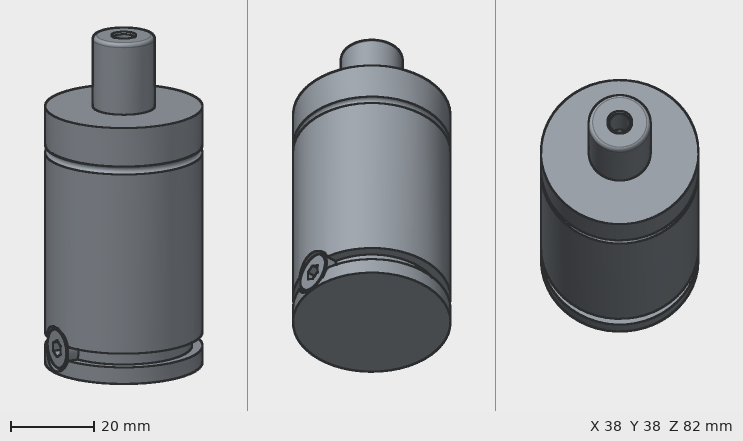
import cadquery as cq
import math

total_height = 82.0
body_diameter = 38.0
body_height = 64.2
rod_diameter = 15.0
rod_fillet = 1.0

round_groove_radius = 1.0
round_groove_z = 53.55

base_groove_diameter = 33.0
base_groove_bottom = 4.2
base_groove_top = 7.6

hole_diameter = 5.0
hole_mouth_diameter = 6.0
hole_depth = 10.0
drill_tip_angle = 118.0

pocket_diameter = 11.0
plug_diameter = 10.0
plug_chamfer = 0.3
plug_z = 6.0
plug_face_offset = 18.45
pocket_floor_offset = 14.8
hex_across_flats = 3.6
hex_depth = 2.5


def cylinder(diameter, bottom, top):
    return cq.Workplane("XY").workplane(offset=bottom).circle(diameter / 2).extrude(top - bottom)


def side_plane(offset):
    """Sketch plane centred on the plug axis, facing -Y at the given distance from the body axis."""
    return cq.Workplane("XZ", origin=(0, -offset, plug_z))


def make_body():
    body = cylinder(body_diameter, 0, body_height)
    base_groove = cylinder(body_diameter, base_groove_bottom, base_groove_top).cut(
        cylinder(base_groove_diameter, base_groove_bottom, base_groove_top)
    )
    round_groove = cq.Workplane(
        cq.Solid.makeTorus(body_diameter / 2, round_groove_radius, cq.Vector(0, 0, round_groove_z))
    )
    return body.cut(base_groove).cut(round_groove)


def make_rod():
    return cylinder(rod_diameter, body_height, total_height).faces(">Z").edges().fillet(rod_fillet)


def make_rod_hole():
    """Drilled hole with a 45 degree mouth and a conical bottom."""
    radius = hole_diameter / 2
    mouth_radius = hole_mouth_diameter / 2
    wall_bottom = total_height - hole_depth
    tip_height = radius / math.tan(math.radians(drill_tip_angle / 2))
    profile = [
        (0, total_height),
        (mouth_radius, total_height),
        (radius, total_height - (mouth_radius - radius)),
        (radius, wall_bottom),
        (0, wall_bottom - tip_height),
    ]
    return cq.Workplane("XZ").polyline(profile).close().revolve(360, (0, 0, 0), (0, 1, 0))


def make_plug_pocket():
    depth = body_diameter / 2 - pocket_floor_offset
    return side_plane(pocket_floor_offset).circle(pocket_diameter / 2).extrude(depth)


def make_plug():
    """Chamfered plug with a hexagonal socket, standing on the pocket floor with a gap all round."""
    length = plug_face_offset - pocket_floor_offset
    plug = side_plane(pocket_floor_offset).circle(plug_diameter / 2).extrude(length)
    plug = plug.faces("<Y").edges().chamfer(plug_chamfer)
    hex_socket = (
        side_plane(plug_face_offset)
        .transformed(rotate=(0, 0, 90))
        .polygon(6, hex_across_flats / math.cos(math.pi / 6))
        .extrude(-hex_depth)
    )
    return plug.cut(hex_socket)


result = make_body().union(make_rod()).cut(make_rod_hole()).cut(make_plug_pocket()).union(make_plug())